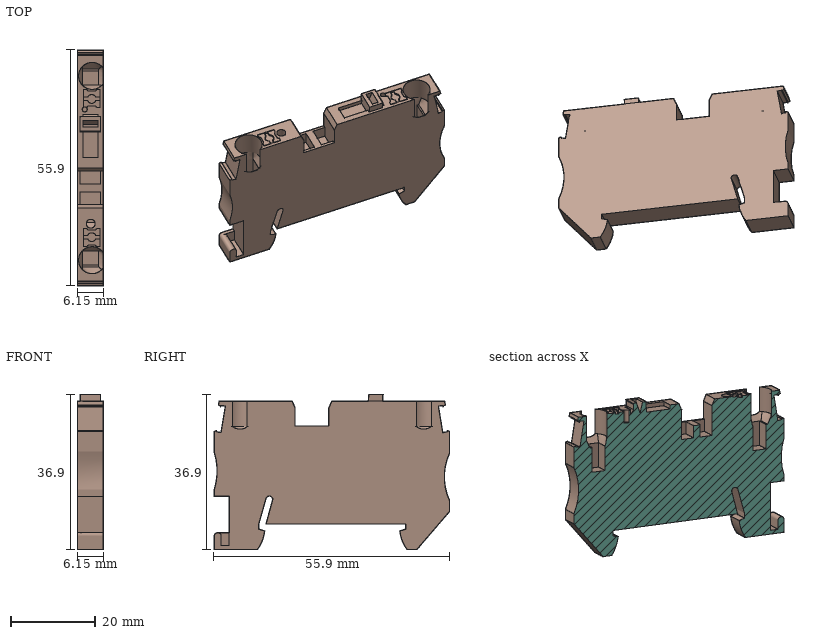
import cadquery as cq

REAR, FRONT = 1, -1

width = 6.15
length = 55.9
half_length = length / 2
half_width = width / 2
body_top = 35.25
overall_height = 36.85

rear_hollow_top, rear_hollow_bottom, rear_hollow_depth = 22.95, 11.6, 1.25
front_hollow_top, front_hollow_bottom, front_hollow_depth = 23.2, 14.2, 0.7

lip_inset = 1.2
neck_profile = [
    (lip_inset, body_top),
    (1.0, 34.35),
    (1.25, 34.2),
    (1.45, 34.15),
    (1.55, 33.9),
    (1.65, 34.15),
    (2.66, 34.05),
    (1.62, 27.8),
    (0.65, 28.0),
    (0.55, 28.3),
    (0.0, 28.05),
]

notch_rear, notch_front = -0.75, -8.7
notch_floor = 29.35
notch_chamfer_width = 0.72
notch_chamfer_height = 1.6
bridge_pocket_width = 4.85
bridge_pocket_length = 3.05
bridge_pocket_depth = 3.0

rail_center = 0.08
rail_seat = 6.1
groove_half, groove_bottom = 17.4, 4.9
hook_tip_half, hook_tip_height = 16.0, 4.47
hook_mid_half, hook_mid_height = 16.6, 2.05
hook_base_half = 17.75
rear_foot_toe = half_length - 7.82
rear_foot_slope_top = 9.1
flex_slot_mouth = -15.65
flex_slot_rear, flex_slot_rear_top = -14.05, 11.95
flex_slot_tip, flex_slot_tip_top = -14.85, 12.7
flex_slot_front, flex_slot_front_top = -15.6, 12.15

release_recess_depth = 3.6
release_recess_top = 12.67
release_recess_bottom = 4.05
release_lip_radius = 0.85
release_side_wall = 0.85
release_pocket_depth = 3.0

funnel_x = 0.4
funnel_end_distance = 6.1
funnel_radius = 3.2
funnel_straight_depth = 6.0
funnel_taper_depth = 2.0
wire_hole_width = 3.85
wire_hole_length = 3.75
wire_hole_x = 0.0
wire_hole_end_distance = 6.38
wire_hole_depth = 6.0
wire_hole_ledge = 0.4

plate_x = 0.31
plate_end_distance = 11.45
plate_width = 3.85
plate_length = 4.3
plate_sink = 0.15
plate_notch_outer, plate_notch_inner, plate_notch_depth = 2.4, 1.6, 0.4
cross_end_distance = 11.56
cross_slot_depth = 0.5
cross_slot_height = 0.85
cross_hole_radius = 1.04

pin_hole_x, pin_hole_y, pin_hole_radius, pin_hole_depth = -1.34, 13.92, 0.6, 3.0
test_hole_x, test_hole_y, test_hole_radius, test_hole_depth = 0.08, -13.2, 1.05, 3.0
test_ramp_offset = 0.32
test_ramp_rise = 0.8

channel_width = 3.5
channel_depth = 1.0
channel_rear, channel_front = 12.76, 2.45
tab_width = 4.85
tab_rear, tab_front = 12.25, 8.75
tab_rear_undercut = 0.15
tab_lip_height = 0.3
tab_foot_front = 8.5
tab_groove_width = 3.5
tab_groove_rear, tab_groove_front = 11.22, 9.72
tab_groove_bottom_y = 10.33
tab_groove_depth = 2.5


def extrude_profile(points, thickness):
    """Extrude a closed Y-Z polygon symmetrically about X = 0."""
    return cq.Workplane("YZ").polyline(points).close().extrude(thickness / 2, both=True)


def cut_block(x, y, top, size_x, size_y, depth):
    """Box hanging down from height `top`, centred on (x, y)."""
    return cq.Workplane("XY", origin=(x, y, top)).rect(size_x, size_y).extrude(-depth)


def cut_cylinder(x, y, radius, depth):
    """Vertical cylinder hanging down from the top of the housing."""
    return cq.Workplane("XY", origin=(x, y, body_top)).circle(radius).extrude(-depth)


def neck_points(end):
    """Neck outline at one end, from the top of the lip down to the ledge."""
    return [(end * (half_length - inset), z) for inset, z in neck_profile]


def housing():
    rear_middle = (rear_hollow_top + rear_hollow_bottom) / 2
    front_middle = (front_hollow_top + front_hollow_bottom) / 2
    recess_wall = -half_length + release_recess_depth

    outline = cq.Workplane("YZ").moveTo(*neck_points(REAR)[0])
    for point in neck_points(REAR)[1:]:
        outline = outline.lineTo(*point)

    outline = (
        outline.lineTo(half_length, rear_hollow_top)
        .threePointArc(
            (half_length - rear_hollow_depth, rear_middle),
            (half_length, rear_hollow_bottom),
        )
        .lineTo(half_length, rear_foot_slope_top)
        .lineTo(rear_foot_toe, 0)
        .lineTo(rail_center + hook_base_half, 0)
        .threePointArc(
            (rail_center + hook_mid_half, hook_mid_height),
            (rail_center + hook_tip_half, hook_tip_height),
        )
        .lineTo(rail_center + groove_half, groove_bottom)
        .lineTo(rail_center + groove_half, rail_seat)
    )

    outline = (
        outline.lineTo(flex_slot_mouth, rail_seat)
        .lineTo(flex_slot_rear, flex_slot_rear_top)
        .threePointArc(
            (flex_slot_tip, flex_slot_tip_top),
            (flex_slot_front, flex_slot_front_top),
        )
        .lineTo(rail_center - groove_half, rail_seat)
        .lineTo(rail_center - groove_half, groove_bottom)
        .lineTo(rail_center - hook_tip_half, hook_tip_height)
        .threePointArc(
            (rail_center - hook_mid_half, hook_mid_height),
            (rail_center - hook_base_half, 0),
        )
    )

    outline = (
        outline.lineTo(-half_length, 0)
        .lineTo(-half_length, release_recess_bottom - release_lip_radius)
        .radiusArc(
            (-half_length + release_lip_radius, release_recess_bottom), release_lip_radius
        )
        .lineTo(recess_wall, release_recess_bottom)
        .lineTo(recess_wall, release_recess_top)
        .lineTo(-half_length, release_recess_top)
        .lineTo(-half_length, front_hollow_bottom)
        .threePointArc(
            (-half_length + front_hollow_depth, front_middle),
            (-half_length, front_hollow_top),
        )
    )
    for point in reversed(neck_points(FRONT)):
        outline = outline.lineTo(*point)

    outline = (
        outline.lineTo(notch_front - notch_chamfer_width, body_top)
        .lineTo(notch_front, body_top - notch_chamfer_height)
        .lineTo(notch_front, notch_floor)
        .lineTo(notch_rear, notch_floor)
        .lineTo(notch_rear, body_top - notch_chamfer_height)
        .lineTo(notch_rear + notch_chamfer_width, body_top)
        .close()
    )
    return outline.extrude(half_width, both=True)


def release_pocket():
    """Finger pocket behind the round-topped lip of the front foot, open to +X."""
    wall_y = -half_length + release_recess_depth
    lip_middle = -half_length + release_lip_radius
    lip_back = lip_middle + release_lip_radius
    return (
        cq.Workplane("YZ", origin=(-half_width + release_side_wall, 0, 0))
        .moveTo(lip_middle, release_recess_bottom)
        .radiusArc((lip_back, release_recess_bottom - release_lip_radius), release_lip_radius)
        .lineTo(lip_back, release_recess_bottom - release_pocket_depth)
        .lineTo(wall_y, release_recess_bottom - release_pocket_depth)
        .lineTo(wall_y, release_recess_bottom)
        .close()
        .extrude(width - release_side_wall)
    )


def bridge_pockets():
    """Two contact pockets in the notch floor, one against each notch wall."""
    rear_y = notch_rear - bridge_pocket_length / 2
    front_y = notch_front + bridge_pocket_length / 2
    pockets = cq.Workplane("XY")
    for y in (rear_y, front_y):
        pockets = pockets.add(
            cut_block(0, y, notch_floor, bridge_pocket_width, bridge_pocket_length, bridge_pocket_depth)
        )
    return pockets.combine()


def wire_funnel(end):
    """Round entry, open through the +X side, tapering to a rectangular wire hole."""
    funnel_y = end * (half_length - funnel_end_distance)
    hole_y = end * (half_length - wire_hole_end_distance)
    taper_top = body_top - funnel_straight_depth
    taper_bottom = taper_top - funnel_taper_depth

    entry = cut_cylinder(funnel_x, funnel_y, funnel_radius, funnel_straight_depth)
    taper = (
        cq.Workplane("XY", origin=(funnel_x, funnel_y, taper_top))
        .circle(funnel_radius)
        .workplane(offset=-funnel_taper_depth)
        .center(wire_hole_x - funnel_x, hole_y - funnel_y)
        .rect(wire_hole_width, wire_hole_length)
        .loft(ruled=True)
    )
    hole = cut_block(
        wire_hole_x,
        hole_y - end * wire_hole_ledge / 2,
        taper_bottom,
        wire_hole_width,
        wire_hole_length - wire_hole_ledge,
        wire_hole_depth,
    )
    return entry.union(taper).union(hole)


def release_plate(end):
    """Slightly sunk plate, notched at both ends, with a deeper slot and round centre."""
    y = end * (half_length - plate_end_distance)
    cross_y = end * (half_length - cross_end_distance)
    sink = cut_block(plate_x, y, body_top, plate_width, plate_length, plate_sink)
    for side in (1, -1):
        edge = side * plate_length / 2
        inner = edge - side * plate_notch_depth
        notch = (
            cq.Workplane("XY", origin=(plate_x, y, body_top))
            .polyline([
                (-plate_notch_outer / 2, edge),
                (-plate_notch_inner / 2, inner),
                (plate_notch_inner / 2, inner),
                (plate_notch_outer / 2, edge),
            ])
            .close()
            .extrude(-plate_sink)
        )
        sink = sink.cut(notch)
    slot = cut_block(plate_x, cross_y, body_top, plate_width, cross_slot_height, cross_slot_depth)
    center = cut_cylinder(plate_x, cross_y, cross_hole_radius, cross_slot_depth)
    return sink.union(slot).union(center)


def test_hole():
    """Blind hole whose floor ramps up towards the front."""
    hole = cut_cylinder(test_hole_x, test_hole_y, test_hole_radius, test_hole_depth)
    floor = body_top - test_hole_depth
    ramp_start = test_hole_y + test_ramp_offset
    ramp_end = test_hole_y - test_hole_radius
    ramp = extrude_profile(
        [(ramp_start, floor), (ramp_end, floor), (ramp_end, floor + test_ramp_rise)], width
    )
    return hole.cut(ramp)


def tab_channel():
    channel_length = channel_rear - channel_front
    channel_middle = (channel_rear + channel_front) / 2
    return cut_block(0, channel_middle, body_top, channel_width, channel_length, channel_depth)


def sliding_tab():
    """Tab standing on the housing, with a rear-sloped foot in the channel and a V groove on top."""
    floor = body_top - channel_depth
    foot_rear = tab_rear - tab_rear_undercut
    front_slope = (tab_front - tab_foot_front) / (overall_height - floor)
    front_at_body_top = tab_foot_front + front_slope * channel_depth
    head = extrude_profile(
        [
            (tab_rear, overall_height),
            (foot_rear, overall_height - tab_lip_height),
            (foot_rear, body_top),
            (front_at_body_top, body_top),
            (tab_front, overall_height),
        ],
        tab_width,
    )
    foot = extrude_profile(
        [
            (foot_rear, body_top),
            (channel_rear, floor),
            (tab_foot_front, floor),
            (front_at_body_top, body_top),
        ],
        channel_width,
    )
    groove = extrude_profile(
        [
            (tab_groove_rear, overall_height),
            (tab_groove_bottom_y, overall_height - tab_groove_depth),
            (tab_groove_front, overall_height),
        ],
        tab_groove_width,
    )
    return head.union(foot).cut(groove)


result = housing().cut(release_pocket()).cut(bridge_pockets())
for end in (REAR, FRONT):
    result = result.cut(wire_funnel(end)).cut(release_plate(end))
result = result.cut(cut_cylinder(pin_hole_x, pin_hole_y, pin_hole_radius, pin_hole_depth))
result = result.cut(test_hole())
result = result.cut(tab_channel()).union(sliding_tab())